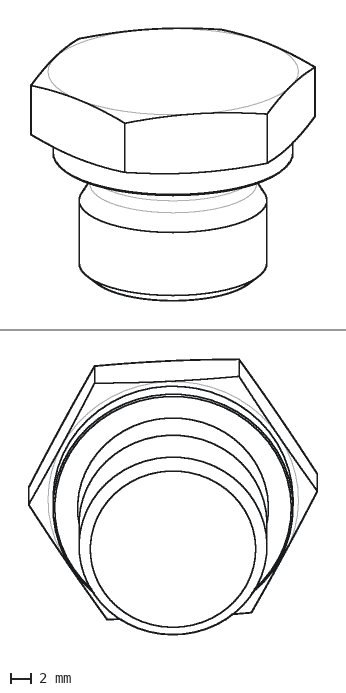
import cadquery as cq
import math

across_corners = 27.7
across_flats = across_corners * math.cos(math.radians(30))
total_height = 20.5

head_height = 6.0
head_chamfer_angle = 15.0

collar_diameter = 23.0
collar_height = 2.5
collar_chamfer = 0.17

shank_diameter = 18.0
shank_end_chamfer_width = 1.08
shank_end_chamfer_height = 0.95
shank_top_z = 7.37
neck_top_diameter = 18.3
neck_edge_diameter = 15.95
neck_diameter = 15.63
neck_lower_z = 9.03
neck_upper_z = 10.25

head_bottom_z = total_height - head_height
collar_bottom_z = head_bottom_z - collar_height


def make_head():
    """Hexagon with corners on +/-Y, chamfered conically on both end faces."""
    hexagon = (
        cq.Workplane("XY", origin=(0, 0, head_bottom_z))
        .polygon(6, across_corners)
        .extrude(head_height)
        .rotate((0, 0, 0), (0, 0, 1), 30)
    )
    corner_radius = across_corners / 2
    flat_radius = across_flats / 2
    corner_drop = (corner_radius - flat_radius) * math.tan(math.radians(head_chamfer_angle))
    envelope = (
        cq.Workplane("XZ")
        .moveTo(0, head_bottom_z)
        .lineTo(flat_radius, head_bottom_z)
        .lineTo(corner_radius, head_bottom_z + corner_drop)
        .lineTo(corner_radius, total_height - corner_drop)
        .lineTo(flat_radius, total_height)
        .lineTo(0, total_height)
        .close()
        .revolve()
    )
    return hexagon.intersect(envelope)


def make_stem():
    """Turned shank, undercut and collar as one revolved profile."""
    shank_radius = shank_diameter / 2
    collar_radius = collar_diameter / 2
    neck_edge_radius = neck_edge_diameter / 2
    neck_middle_z = (neck_lower_z + neck_upper_z) / 2
    return (
        cq.Workplane("XZ")
        .lineTo(shank_radius - shank_end_chamfer_width, 0)
        .lineTo(shank_radius, shank_end_chamfer_height)
        .lineTo(shank_radius, shank_top_z)
        .lineTo(neck_edge_radius, neck_lower_z)
        .threePointArc((neck_diameter / 2, neck_middle_z), (neck_edge_radius, neck_upper_z))
        .lineTo(neck_top_diameter / 2, collar_bottom_z)
        .lineTo(collar_radius - collar_chamfer, collar_bottom_z)
        .lineTo(collar_radius, collar_bottom_z + collar_chamfer)
        .lineTo(collar_radius, head_bottom_z)
        .lineTo(0, head_bottom_z)
        .close()
        .revolve()
    )


result = make_head().union(make_stem())